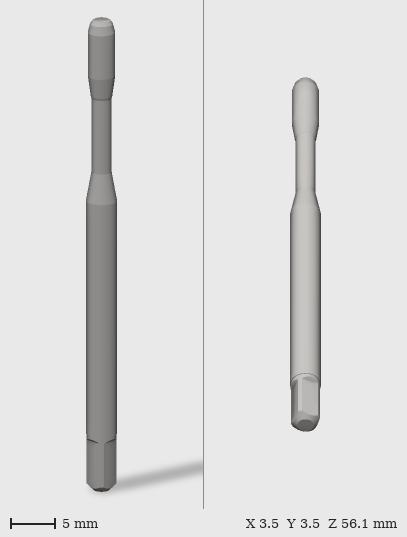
import cadquery as cq

shank_diameter = 3.5
square_corner_diameter = 3.36
square_width = 2.7
square_end_diameter = 1.86
neck_diameter = 2.27
head_diameter = 3.1
head_back_diameter = 2.45
tip_base_diameter = 2.56
tip_diameter = 1.98

total_length = 56.1
square_length = 6.0
square_end_chamfer = 0.75
shank_start = 6.72
shank_end = 34.57
shoulder_end = 38.02
neck_end = 46.8
head_back_start = 47.1
head_start = 49.5
head_end = 54.7
tip_base = 55.7


def turned_body():
    """Revolve the stepped and tapered half profile about Z."""
    stations = [
        (square_end_diameter, 0),
        (square_corner_diameter, square_end_chamfer),
        (square_corner_diameter, shank_start),
        (shank_diameter, shank_start),
        (shank_diameter, shank_end),
        (neck_diameter, shoulder_end),
        (neck_diameter, neck_end),
        (head_back_diameter, head_back_start),
        (head_diameter, head_start),
        (head_diameter, head_end),
        (tip_base_diameter, tip_base),
        (tip_diameter, total_length),
    ]
    half_profile = [(diameter / 2, height) for diameter, height in stations]
    outline = [(0, 0)] + half_profile + [(0, total_length)]
    return cq.Workplane("XZ").polyline(outline).close().revolve(360, (0, 0), (0, 1))


def flat_cutter():
    """Cutter for the -Y flat of the square, with a 45 degree run-out at its upper end."""
    flat = square_width / 2
    clear = shank_diameter
    runout = clear - flat
    return (
        cq.Workplane("YZ")
        .polyline([(-flat, 0), (-flat, square_length), (-clear, square_length + runout), (-clear, 0)])
        .close()
        .extrude(shank_diameter, both=True)
    )


def cut_square(body):
    """Cut the four flats of the drive square."""
    flat_count = 4
    for index in range(flat_count):
        angle = index * 360 / flat_count
        body = body.cut(flat_cutter().rotate((0, 0, 0), (0, 0, 1), angle))
    return body


result = cut_square(turned_body())